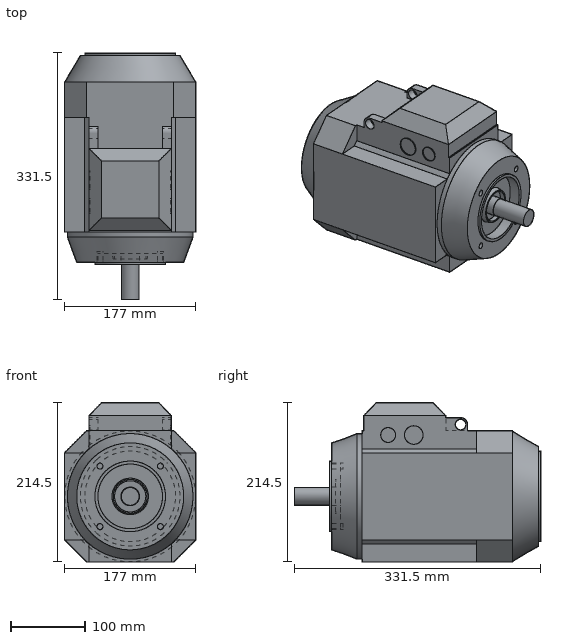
import cadquery as cq


body_width = 177.0
body_front = 41.0
body_rear = 243.0
body_chamfer = 30.0
half_body = body_width / 2
side_half_height = half_body - body_chamfer

notch_rear = 195.0
core_half_width = 55.5
stator_radius = 84.7

cowl_base_radius = 88.0
cowl_end_radius = 67.0
cowl_length = 35.5
cowl_disc_radius = 61.0
cowl_disc_thickness = 3.0

flange_radius = 84.5
flange_rim_length = 7.0
flange_face_radius = 72.0
spigot_radius = 47.5
spigot_height = 3.0
recess_radius = 43.5
recess_floor = 12.0
bolt_spacing = 81.3
bolt_hole_diameter = 8.0
bolt_hole_depth = 15.0

hub_base_radius = 24.5
hub_rim_radius = 22.8
hub_bore_radius = 21.0
hub_height = 7.0
shaft_radius = 12.0
shaft_length = 50.0
shoulder_radius = 12.5

box_front = 43.0
box_rear = 153.5
box_edge_height = 108.5
box_top = 126.0
lid_inset = 17.0

cable_entries = [(110.5, 12.5), (76.0, 10.0)]
entry_height = 82.5
entry_depth = 1.5

lug_thickness = 12.0
lug_radius = 9.5
lug_hole_radius = 7.0
lug_y = 173.5
lug_z = 96.5


def box_between(x_range, y_range, z_range):
    """Axis-aligned block given by its limits along X, Y and Z."""
    (x0, x1), (y0, y1), (z0, z1) = x_range, y_range, z_range
    return cq.Workplane("XY").box(x1 - x0, y1 - y0, z1 - z0, centered=False).translate((x0, y0, z0))


def revolved(profile):
    """Solid of revolution about the Y axis from (radius, y) points."""
    return cq.Workplane("XY").polyline(profile).close().revolve(360, (0, 0, 0), (0, 1, 0))


def both_sides(shape):
    """The shape together with its mirror image across the YZ plane."""
    return shape.union(shape.mirror("YZ"))


def make_corner_notch():
    """Corner removed at +X +Z, down to the cross and the stator inside it."""
    corner = box_between(
        (core_half_width, body_width),
        (0, notch_rear),
        (side_half_height, body_width),
    )
    stator = revolved([
        (0, 0),
        (stator_radius, 0),
        (stator_radius, notch_rear),
        (0, notch_rear),
    ])
    return corner.cut(stator)


def make_body():
    """Chamfered housing with its four long corners cut back."""
    body = box_between(
        (-half_body, half_body),
        (body_front, body_rear),
        (-half_body, half_body),
    ).edges("|Y").chamfer(body_chamfer)
    upper_notches = both_sides(make_corner_notch())
    return body.cut(upper_notches).cut(upper_notches.mirror("XY"))


def make_cowl():
    """Conical fan cowl with a thin end disc."""
    cone_end = body_rear + cowl_length
    disc_end = cone_end + cowl_disc_thickness
    return revolved([
        (0, body_rear),
        (cowl_base_radius, body_rear),
        (cowl_end_radius, cone_end),
        (cowl_disc_radius, cone_end),
        (cowl_disc_radius, disc_end),
        (0, disc_end),
    ])


def make_flange():
    """Tapered flange with spigot, recess, bearing hub and stepped shaft."""
    hub_rim = recess_floor - hub_height
    flange = revolved([
        (0, body_front),
        (flange_radius, body_front),
        (flange_radius, body_front - flange_rim_length),
        (flange_face_radius, 0),
        (spigot_radius, 0),
        (spigot_radius, -spigot_height),
        (recess_radius, -spigot_height),
        (recess_radius, recess_floor),
        (hub_base_radius, recess_floor),
        (hub_rim_radius, hub_rim),
        (hub_bore_radius, hub_rim),
        (hub_bore_radius, recess_floor),
        (shoulder_radius, recess_floor),
        (shoulder_radius, 0),
        (shaft_radius, 0),
        (shaft_radius, -shaft_length),
        (0, -shaft_length),
    ])
    bolt_holes = (
        cq.Workplane("XZ")
        .rect(bolt_spacing, bolt_spacing, forConstruction=True)
        .vertices()
        .circle(bolt_hole_diameter / 2)
        .extrude(-bolt_hole_depth)
    )
    return flange.cut(bolt_holes)


def make_terminal_box():
    """Terminal box with a sloped lid."""
    return box_between(
        (-core_half_width, core_half_width),
        (box_front, box_rear),
        (half_body, box_top),
    ).faces(">Z").chamfer(box_top - box_edge_height, lid_inset)


def make_cable_entries():
    """Shallow round recesses sunk into both sides of the terminal box."""
    entries = cq.Workplane("YZ", origin=(-core_half_width, 0, 0))
    for entry_y, entry_radius in cable_entries:
        entries = entries.moveTo(entry_y, entry_height).circle(entry_radius)
    return both_sides(entries.extrude(entry_depth))


def make_lugs():
    """Pair of lifting lugs with a rounded rear corner and a cross hole."""
    lug = (
        box_between(
            (-core_half_width, lug_thickness - core_half_width),
            (box_rear, lug_y + lug_radius),
            (half_body, lug_z + lug_radius),
        )
        .edges("|X and >Y and >Z")
        .fillet(lug_radius)
    )
    hole = (
        cq.Workplane("YZ", origin=(-core_half_width, 0, 0))
        .center(lug_y, lug_z)
        .circle(lug_hole_radius)
        .extrude(lug_thickness)
    )
    return both_sides(lug.cut(hole))


result = (
    make_body()
    .union(make_cowl())
    .union(make_flange())
    .union(make_terminal_box())
    .union(make_lugs())
    .cut(make_cable_entries())
)